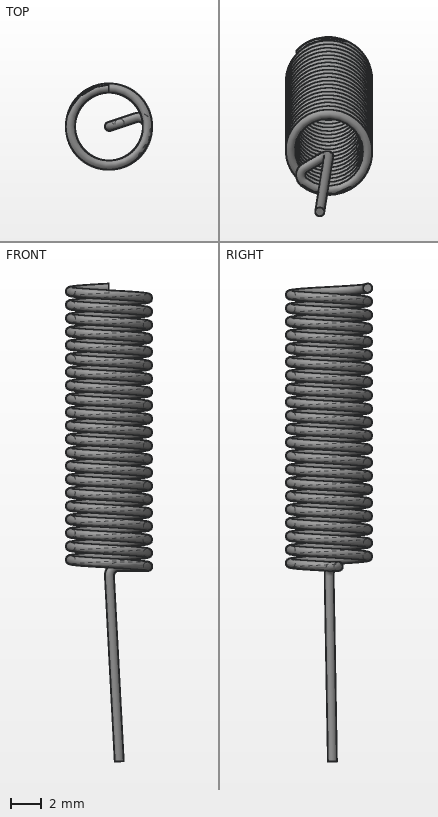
import cadquery as cq
import math

wire_diameter = 0.6
coil_outer_diameter = 5.6
overall_height = 30.93
coil_height = 18.0
turns = 20.75
elbow_radius = 0.6
bend_radius = 0.6
leg_tilt = 3.2
leg_top_offset = 0.03

wire_radius = wire_diameter / 2
coil_radius = (coil_outer_diameter - wire_diameter) / 2
pitch = coil_height / turns
tilt = math.radians(leg_tilt)
leg_bottom = coil_height + wire_radius - overall_height

elbow_centre_distance = coil_radius - elbow_radius
arm_angle = math.asin(elbow_radius / elbow_centre_distance)


def make_coil():
    """Left-handed coil of round wire, rising from +X."""
    helix = cq.Wire.makeHelix(pitch, coil_height, coil_radius, lefthand=True)
    section = cq.Workplane("XZ").center(coil_radius, 0).circle(wire_radius)
    return section.sweep(cq.Workplane(helix), isFrenet=True)


def make_tail():
    """Elbow, radial arm, bend and leg in one sweep, built with the arm along +X."""

    def on_elbow(angle):
        return cq.Vector(
            elbow_centre_distance * math.cos(arm_angle) + elbow_radius * math.cos(angle),
            -elbow_radius + elbow_radius * math.sin(angle),
            0,
        )

    def on_bend(angle):
        return cq.Vector(
            leg_top_offset + bend_radius * (math.cos(tilt) + math.cos(angle)),
            0,
            -bend_radius + bend_radius * math.sin(angle),
        )

    arm_side = math.pi / 2
    coil_end = on_elbow(-arm_angle)
    arm_outer = on_elbow(arm_side)
    arm_inner = on_bend(arm_side)
    leg_top = on_bend(math.pi + tilt)

    leg_end_z = leg_bottom + wire_radius * math.sin(tilt)
    leg_end_x = leg_top.x + (leg_top.z - leg_end_z) * math.tan(tilt)
    leg_end = cq.Vector(leg_end_x, 0, leg_end_z)

    path = cq.Wire.assembleEdges([
        cq.Edge.makeThreePointArc(coil_end, on_elbow((arm_side - arm_angle) / 2), arm_outer),
        cq.Edge.makeLine(arm_outer, arm_inner),
        cq.Edge.makeThreePointArc(arm_inner, on_bend((arm_side + math.pi + tilt) / 2), leg_top),
        cq.Edge.makeLine(leg_top, leg_end),
    ])
    section_plane = cq.Plane(origin=coil_end, xDir=(0, 0, 1), normal=path.tangentAt(0))
    tail = cq.Workplane(section_plane).circle(wire_radius).sweep(cq.Workplane(path))
    return tail.rotate((0, 0, 0), (0, 0, 1), math.degrees(arm_angle))


result = make_coil().union(make_tail())